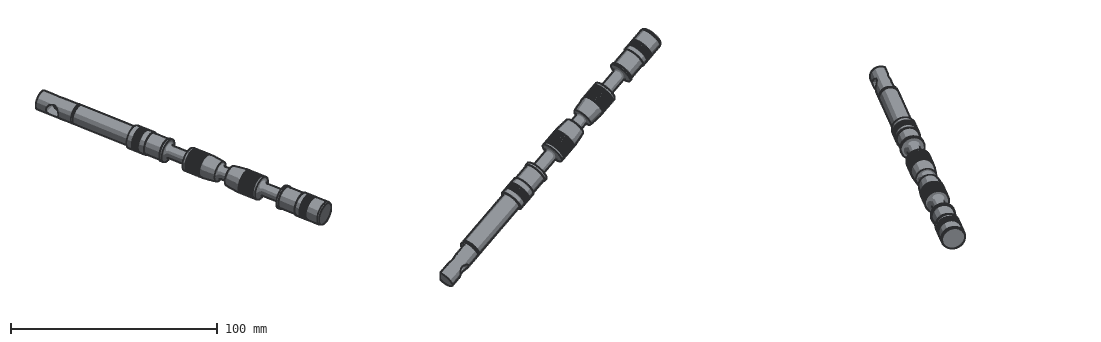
import cadquery as cq
import math

length = 162.0
body_dia = 12.0
shank_dia = 10.0
neck_dia = 6.5
waist_dia = 11.2
body_radius = body_dia / 2
neck_radius = neck_dia / 2

shank_groove_start = 20.1
shank_groove_width = 1.0
shank_end = 52.3

flat_length = 19.1
flat_offset = 2.6
cross_hole_x = 9.4
cross_hole_dia = 7.0
cross_hole_chamfer = 1.5

collar_waist_start = 62.2
collar_waist_end = 71.0
collar_end = 72.4
cap_start = 137.7
cap_waist_start = 138.8
cap_waist_end = 148.0
end_chamfer_length = 1.0
end_chamfer_depth = 0.3

mirror_x = 105.0
barrel_start = 84.2
barrel_taper_start = 95.3
barrel_end = 102.0
barrel_tip_radius = 5.2
barrel_mid_radius = 5.7

blend_radius = 1.5
wide_blend_radius = 2.0

ring_pitch = 1.49
ring_width = 0.5
ring_dia = 11.5
collar_ring_x = 55.5
cap_ring_x = 151.1
barrel_ring_x = 86.0
end_ring_count = 3
barrel_ring_count = 6


def rod(start, end, diameter):
    """Solid cylinder on the X axis between two stations."""
    return cq.Workplane("YZ", origin=(start, 0, 0)).circle(diameter / 2).extrude(end - start)


def ring_groove(center, width, floor_dia):
    """Tube that cuts a square ring groove centred on one station."""
    cutter_dia = 2 * body_dia
    start = center - width / 2
    end = center + width / 2
    return rod(start, end, cutter_dia).cut(rod(start, end, floor_dia))


def neck_blend(face_x, direction, radius):
    """Concave flare between a neck and an end face; direction points from the face along the neck."""
    arc_middle = radius * (1 - math.cos(math.pi / 4))
    profile = (
        cq.Workplane("XY")
        .moveTo(face_x, 0)
        .lineTo(face_x, neck_radius + radius)
        .threePointArc(
            (face_x + direction * arc_middle, neck_radius + arc_middle),
            (face_x + direction * radius, neck_radius),
        )
        .lineTo(face_x + direction * radius, 0)
        .close()
    )
    return profile.revolve(360, (0, 0, 0), (1, 0, 0))


def barrel():
    """Barrel with a straight ringed part and a gently rounded nose toward +X."""
    profile = (
        cq.Workplane("XY")
        .moveTo(barrel_start, 0)
        .lineTo(barrel_start, body_radius)
        .lineTo(barrel_taper_start, body_radius)
        .threePointArc(
            ((barrel_taper_start + barrel_end) / 2, barrel_mid_radius),
            (barrel_end, barrel_tip_radius),
        )
        .lineTo(barrel_end, 0)
        .close()
    )
    solid = profile.revolve(360, (0, 0, 0), (1, 0, 0))
    for i in range(barrel_ring_count):
        solid = solid.cut(ring_groove(barrel_ring_x + i * ring_pitch, ring_width, ring_dia))
    solid = solid.union(neck_blend(barrel_start, -1, wide_blend_radius))
    return solid.union(neck_blend(barrel_end, 1, blend_radius))


def shank():
    """Round shank with a retaining groove, a flat on +Y and a cross hole countersunk from the flat."""
    solid = rod(0, shank_end, shank_dia)
    groove_center = shank_groove_start + shank_groove_width / 2
    solid = solid.cut(ring_groove(groove_center, shank_groove_width, neck_dia))
    flat = cq.Workplane("XY").box(flat_length, shank_dia, 2 * shank_dia, centered=(False, False, True))
    solid = solid.cut(flat.translate((0, flat_offset, 0)))
    hole_plane = cq.Workplane("XZ", origin=(cross_hole_x, flat_offset, 0))
    solid = solid.cut(hole_plane.circle(cross_hole_dia / 2).extrude(shank_dia))
    countersink = (
        hole_plane.circle(cross_hole_dia / 2 + cross_hole_chamfer)
        .workplane(offset=cross_hole_chamfer)
        .circle(cross_hole_dia / 2)
        .loft()
    )
    return solid.cut(countersink)


def collar():
    """Collar with three ring grooves and a shallow waist before its end flange."""
    solid = rod(shank_end, collar_end, body_dia)
    waist_center = (collar_waist_start + collar_waist_end) / 2
    solid = solid.cut(ring_groove(waist_center, collar_waist_end - collar_waist_start, waist_dia))
    for i in range(end_ring_count):
        solid = solid.cut(ring_groove(collar_ring_x + i * ring_pitch, ring_width, ring_dia))
    return solid.union(neck_blend(collar_end, 1, blend_radius))


def cap():
    """End cap with a flange, a shallow waist, three ring grooves and a chamfered end."""
    solid = rod(cap_start, length, body_dia)
    solid = solid.faces(">X").chamfer(end_chamfer_length, end_chamfer_depth)
    waist_center = (cap_waist_start + cap_waist_end) / 2
    solid = solid.cut(ring_groove(waist_center, cap_waist_end - cap_waist_start, waist_dia))
    for i in range(end_ring_count):
        solid = solid.cut(ring_groove(cap_ring_x + i * ring_pitch, ring_width, ring_dia))
    return solid.union(neck_blend(cap_start, -1, wide_blend_radius))


near_barrel = barrel()
far_barrel = near_barrel.mirror("YZ", (mirror_x, 0, 0))

result = (
    rod(collar_end, cap_start, neck_dia)
    .union(shank())
    .union(collar())
    .union(near_barrel)
    .union(far_barrel)
    .union(cap())
)